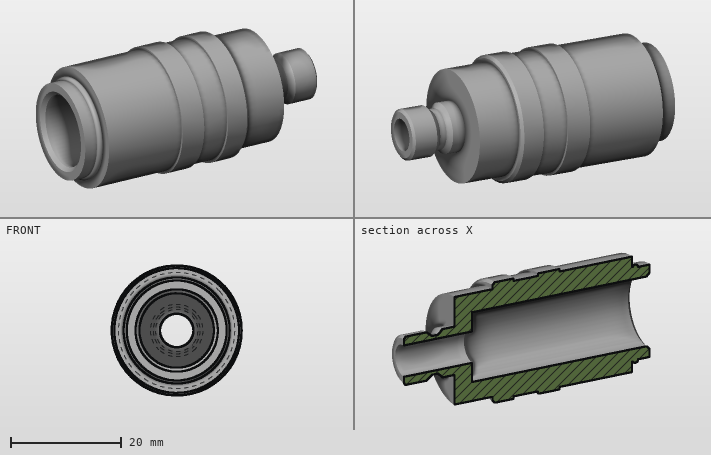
import cadquery as cq

total_length = 51.0

nose_radius = 9.05
nose_length = 3.65
ring_outer_radius = 9.6
ring_width = 1.3

barrel_radius = 11.25
collar_radius = 11.755
collar_width = 4.5
front_collar_start = 18.7
rear_collar_start = 28.15
collar_chamfer = 0.5

shoulder_radius = 10.5
shoulder_end = 40.55

stud_radius = 4.75
waist_radius = 3.8
front_flank_start = 43.0
waist_start = 43.85
waist_end = 45.15
rear_flank_end = 46.2
stud_chamfer_radial = 0.5
stud_chamfer_axial = 0.4

bore_radius = 6.75
bore_mouth_radius = 7.45
bore_mouth_depth = 0.7
hole_radius = 3.0
end_wall = shoulder_radius - bore_radius
bore_depth = shoulder_end - end_wall


def cylinder(radius, start, end):
    """Solid cylinder on the Y axis between two Y positions."""
    plane = cq.Workplane("XZ", origin=(0, start, 0))
    return plane.circle(radius).extrude(start - end)


def revolve_profile(workplane):
    """Close an outline drawn in XY and turn it about the Y axis."""
    return workplane.close().revolve(360, (0, 0, 0), (0, 1, 0))


def make_body():
    rear_collar = cylinder(collar_radius, rear_collar_start, rear_collar_start + collar_width)
    rear_collar = rear_collar.faces(">Y").edges().chamfer(collar_chamfer)
    front_collar = cylinder(collar_radius, front_collar_start, front_collar_start + collar_width)
    return (
        cylinder(nose_radius, 0, nose_length)
        .union(cylinder(barrel_radius, nose_length, rear_collar_start))
        .union(front_collar)
        .union(rear_collar)
        .union(cylinder(shoulder_radius, rear_collar_start, shoulder_end))
    )


def make_snap_ring():
    """Rounded bead around the nose, against the barrel face."""
    bead_start = nose_length - ring_width
    bead_middle = nose_length - ring_width / 2
    inner_radius = (bore_mouth_radius + nose_radius) / 2
    return revolve_profile(
        cq.Workplane("XY")
        .moveTo(inner_radius, bead_start)
        .lineTo(nose_radius, bead_start)
        .threePointArc((ring_outer_radius, bead_middle), (nose_radius, nose_length))
        .lineTo(inner_radius, nose_length)
    )


def make_stud():
    outline = [
        (0, shoulder_end),
        (stud_radius, shoulder_end),
        (stud_radius, front_flank_start),
        (waist_radius, waist_start),
        (waist_radius, waist_end),
        (stud_radius, rear_flank_end),
        (stud_radius, total_length - stud_chamfer_axial),
        (stud_radius - stud_chamfer_radial, total_length),
        (0, total_length),
    ]
    return revolve_profile(cq.Workplane("XY").polyline(outline))


def make_bore():
    """Bore with a conical mouth and a flat floor."""
    outline = [
        (0, 0),
        (bore_mouth_radius, 0),
        (bore_radius, bore_mouth_depth),
        (bore_radius, bore_depth),
        (0, bore_depth),
    ]
    return revolve_profile(cq.Workplane("XY").polyline(outline))


through_hole = cylinder(hole_radius, 0, total_length)
result = make_body().union(make_snap_ring()).union(make_stud()).cut(make_bore()).cut(through_hole)